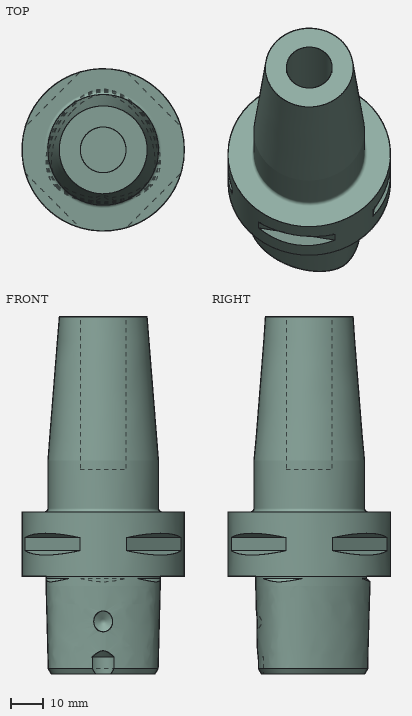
import cadquery as cq
import math

total_height = 110.0
flange_bottom = 30.0
flange_top = 49.9
nose_start = 65.7

flange_radius = 25.02
neck_radius = 17.0
neck_fillet = 1.0
nose_radius = 13.5
bore_diameter = 14.1
bore_depth = 47.0

slot_count = 4
slot_floor_distance = 22.0
slot_floor_height = 4.0
slot_mouth_height = 6.7

lobe_height = 1.1
shank_top_radius = 17.6
shank_bottom_radius = 16.9
shank_taper_top = 27.0
shank_chamfer_height = 1.6
shank_chamfer_width = 1.0

relief_radius = 17.7
relief_straight_height = 0.7
relief_height = 2.0

dimple_diameter = 6.4
dimple_z = 16.1
dimple_point_angle = 120.0
notch_radius = 4.3
notch_axis_y = -18.4
notch_straight_height = 5.3


def shank_wire(mean_radius, z):
    """Closed lobed outline whose tangent distance is mean_radius + lobe_height * sin(-3 t)."""

    def point(turn):
        angle = 2 * math.pi * turn
        reach = mean_radius - lobe_height * math.sin(3 * angle)
        slide = -3 * lobe_height * math.cos(3 * angle)
        return (
            reach * math.cos(angle) - slide * math.sin(angle),
            reach * math.sin(angle) + slide * math.cos(angle),
            z,
        )

    points_per_turn = 48
    points = [cq.Vector(*point(i / points_per_turn)) for i in range(points_per_turn)]
    return cq.Wire.assembleEdges([cq.Edge.makeSpline(points, periodic=True)])


def shank_section(bottom_radius, bottom_z, top_radius, top_z):
    wires = [shank_wire(bottom_radius, bottom_z), shank_wire(top_radius, top_z)]
    return cq.Workplane(cq.Solid.makeLoft(wires, True))


def revolved(points):
    """Solid of revolution about Z from (radius, z) points."""
    return cq.Workplane("XZ").polyline(points).close().revolve(360, (0, 0), (0, 1))


def make_shank():
    chamfer = shank_section(
        shank_bottom_radius - shank_chamfer_width, 0, shank_bottom_radius, shank_chamfer_height
    )
    taper = shank_section(
        shank_bottom_radius, shank_chamfer_height, shank_top_radius, shank_taper_top
    )
    collar = shank_section(shank_top_radius, shank_taper_top, shank_top_radius, flange_bottom)
    return chamfer.union(taper).union(collar).cut(make_lobe_relief())


def make_lobe_relief():
    cone_height = relief_height - relief_straight_height
    return revolved([
        (relief_radius, flange_bottom),
        (relief_radius, flange_bottom - relief_straight_height),
        (relief_radius + cone_height, flange_bottom - relief_height),
        (flange_radius, flange_bottom - relief_height),
        (flange_radius, flange_bottom),
    ])


def make_upper_body():
    return (
        cq.Workplane("XZ")
        .moveTo(0, flange_bottom)
        .lineTo(flange_radius, flange_bottom)
        .lineTo(flange_radius, flange_top)
        .lineTo(neck_radius + neck_fillet, flange_top)
        .radiusArc((neck_radius, flange_top + neck_fillet), neck_fillet)
        .lineTo(neck_radius, nose_start)
        .lineTo(nose_radius, total_height)
        .lineTo(0, total_height)
        .close()
        .revolve(360, (0, 0), (0, 1))
    )


def make_gripper_slots():
    """Straight trapezoidal slots, evenly spaced and midway between the X and Y axes."""
    middle = (flange_bottom + flange_top) / 2
    floor_half = slot_floor_height / 2
    mouth_half = slot_mouth_height / 2
    spacing = 360 / slot_count
    slot = (
        cq.Workplane("XZ")
        .polyline([
            (slot_floor_distance, middle - floor_half),
            (flange_radius, middle - mouth_half),
            (flange_radius, middle + mouth_half),
            (slot_floor_distance, middle + floor_half),
        ])
        .close()
        .extrude(flange_radius, both=True)
    )
    slots = cq.Workplane()
    for i in range(slot_count):
        slots = slots.add(slot.rotate((0, 0, 0), (0, 0, 1), (i + 0.5) * spacing))
    return slots.combine()


def make_dimple():
    """Drill-point cone with its mouth extended outward past the flat of the shank."""
    radius = dimple_diameter / 2
    flat_fraction = (dimple_z - shank_chamfer_height) / (shank_taper_top - shank_chamfer_height)
    flat_radius = shank_bottom_radius + flat_fraction * (shank_top_radius - shank_bottom_radius)
    flat_y = lobe_height - flat_radius
    overshoot = 1.1
    half_angle = math.radians(dimple_point_angle / 2)
    mouth = radius + overshoot * math.tan(half_angle)
    cone_length = mouth / math.tan(half_angle)
    return cq.Workplane(cq.Solid.makeCone(
        mouth, 0, cone_length, cq.Vector(0, flat_y - overshoot, dimple_z), cq.Vector(0, 1, 0)
    ))


def make_notch():
    """Upright round cut with a 45 degree conical roof."""
    return revolved([
        (0, 0),
        (notch_radius, 0),
        (notch_radius, notch_straight_height),
        (0, notch_straight_height + notch_radius),
    ]).translate((0, notch_axis_y, 0))


bore = cq.Workplane("XY", origin=(0, 0, total_height)).circle(bore_diameter / 2).extrude(-bore_depth)

result = (
    make_upper_body()
    .cut(make_gripper_slots())
    .union(make_shank())
    .cut(bore)
    .cut(make_dimple())
    .cut(make_notch())
)